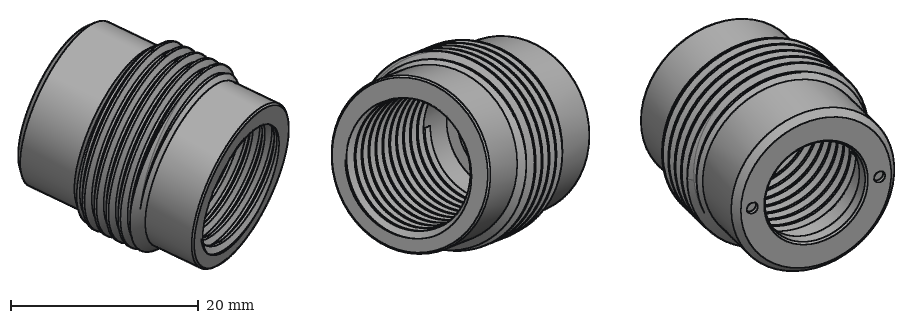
import cadquery as cq
import math

length = 22.5
front = -length / 2
back = length / 2

body_radius = 9.72
front_chamfer = 0.76
back_chamfer = 0.2

collar_start = 7.55
collar_end = 16.47
outer_crest_radius = 10.94
outer_root_radius = 10.2
outer_groove_start = 6.85

lip_thickness = 1.6
lip_radius = 5.96
lip_chamfer = 0.22
bore_radius = 7.3
inner_root_radius = 8.0
inner_groove_start = 5.7

pitch = 1.5
flank_slope = math.tan(math.radians(30))
root_flat = 0.34
overcut = 0.11

top_angle = 90
minus_y_angle = 180

spanner_diameter = 1.3
spanner_offset = 7.58
spanner_depth = 0.5


def revolve_about_x(points):
    """Turn a closed (x, radius) outline about the X axis."""
    return cq.Workplane("XY").polyline(points).close().revolve(360, (0, 0, 0), (1, 0, 0))


def thread_groove(root_radius, surface_radius, start_x, turns, start_angle):
    """Right-handed V groove along X; start_angle is measured from +Y towards +Z."""
    outward = 1 if surface_radius > root_radius else -1
    mouth_radius = surface_radius + outward * overcut
    root_half = root_flat / 2
    mouth_half = root_half + abs(mouth_radius - root_radius) * flank_slope
    profile = [
        (root_radius, -root_half),
        (mouth_radius, -mouth_half),
        (mouth_radius, mouth_half),
        (root_radius, root_half),
    ]
    helix = cq.Wire.makeHelix(pitch, turns * pitch, root_radius)
    groove = cq.Workplane("XZ").polyline(profile).close().sweep(cq.Workplane(obj=helix), isFrenet=True)
    upright = groove.rotate((0, 0, 0), (1, 1, 1), 120)
    return upright.rotate((0, 0, 0), (1, 0, 0), start_angle).translate((start_x, 0, 0))


def make_body():
    body = cq.Workplane("YZ").workplane(offset=front).circle(body_radius).extrude(length)
    body = body.faces("<X").chamfer(front_chamfer)
    return body.faces(">X").chamfer(back_chamfer)


def make_threaded_rod():
    """Rod longer than the collar, with the outer thread along all of it."""
    turns = math.ceil((collar_end - outer_groove_start) / pitch)
    thread_start = front + outer_groove_start
    rod_length = (turns + 2) * pitch
    rod = cq.Workplane("YZ").workplane(offset=thread_start - pitch).circle(outer_crest_radius).extrude(rod_length)
    return rod.cut(thread_groove(outer_root_radius, outer_crest_radius, thread_start, turns, top_angle))


def make_collar():
    """Threaded rod trimmed to the collar, so the thread runs out on both bevels."""
    rise = outer_crest_radius - body_radius
    envelope = revolve_about_x([
        (front + collar_start, 0),
        (front + collar_start, body_radius),
        (front + collar_start + rise, outer_crest_radius),
        (front + collar_end - rise, outer_crest_radius),
        (front + collar_end, body_radius),
        (front + collar_end, 0),
    ])
    return make_threaded_rod().intersect(envelope)


def make_threaded_bore():
    """Stepped bore with its thread, running past the back face so the thread leaves it open."""
    bore_end = back + 2 * pitch
    bore = revolve_about_x([
        (front, 0),
        (front, lip_radius + lip_chamfer),
        (front + lip_chamfer, lip_radius),
        (front + lip_thickness, lip_radius),
        (front + lip_thickness, bore_radius),
        (bore_end, bore_radius),
        (bore_end, 0),
    ])
    turns = math.ceil((length - inner_groove_start) / pitch)
    groove = thread_groove(inner_root_radius, bore_radius, front + inner_groove_start, turns, minus_y_angle)
    return bore.union(groove)


def make_spanner_holes():
    face = cq.Workplane("YZ").workplane(offset=front)
    centers = [(-spanner_offset, 0), (spanner_offset, 0)]
    return face.pushPoints(centers).circle(spanner_diameter / 2).extrude(spanner_depth)


result = (
    make_body()
    .union(make_collar())
    .cut(make_threaded_bore())
    .cut(make_spanner_holes())
)